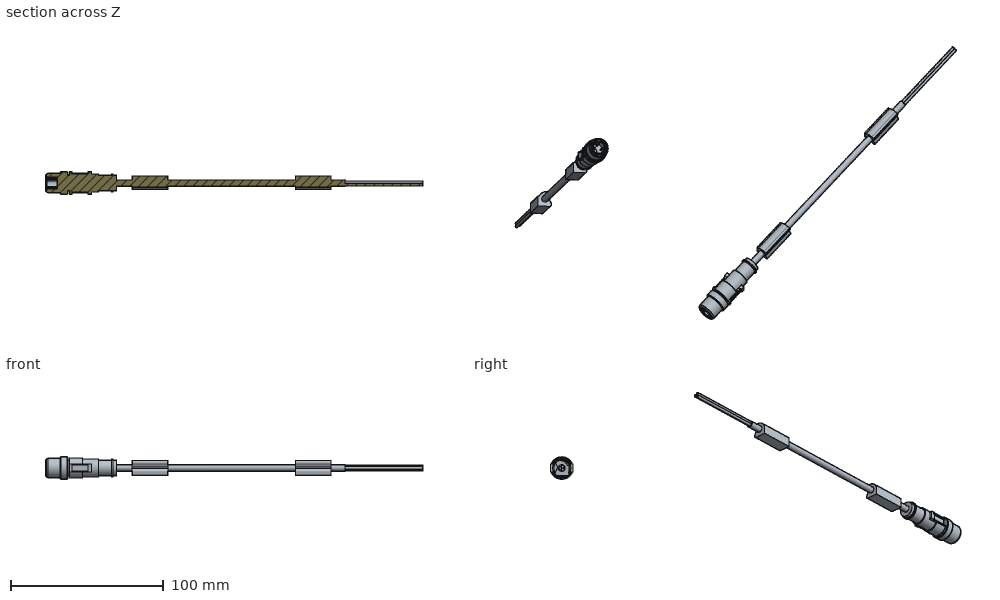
import cadquery as cq
import math

TOTAL_LENGTH = 246.8

NOSE_RADIUS = 6.5
NOSE_CHAMFER = 1.5
NOSE_FACE_RADIUS = 5.2
NOSE_EDGE_RADIUS = 6.0
NOSE_EDGE = 0.5
COLLAR_START = 9.5
COLLAR_END = 14.5
COLLAR_RADIUS = 7.5
COLLAR_CHAMFER = 0.5
NECK_RADIUS = 5.2
BODY_START = 15.5
BODY_STEP = 24.0
BODY_END = 34.5
BODY_FRONT_RADIUS = 6.7
BODY_REAR_RADIUS = 6.0
TAIL_RADIUS = 5.2
TAIL_END = 46.5
RING_START = 43.2
RING_END = 44.2
RING_RADIUS = 6.0

SOCKET_RADIUS = 3.7
SOCKET_DEPTH = 7.5
MOUTH_RADIUS = 4.5
MOUTH_DEPTH = 0.7
PIN_RADIUS = 0.5
PIN_CIRCLE_RADIUS = 2.7
PIN_LENGTH = 6.0
PIN_ANGLES = (0, 90, 180)
KEY_RADIUS = 1.0
KEY_CIRCLE_RADIUS = 3.5
KEY_ANGLE = -45

PAD_LENGTH = 14.5
PAD_HEIGHT = 5.5
PAD_REACH = 7.5
PAD_BASE = 6.7
POCKET_START = 17.3
POCKET_LENGTH = 10.4
POCKET_HEIGHT = 4.0
POCKET_FLOOR = 6.0

CABLE_RADIUS = 2.2
CABLE_END = 196.0
WIRE_COUNT = 3
WIRE_RADIUS = 0.91
WIRE_CIRCLE_RADIUS = 1.09

OVERLAP = 1.2

CLIP_LENGTH = 23.5
CLIP_STARTS = (56.5, 163.5)
CLIP_HALF_HEIGHT = 5.0
CLIP_BACK = 4.7
LEDGE_WIDTH = 1.0
LEDGE_HEIGHT = 1.7
DOME_MIDDLE = (2.0, 4.0)
DOME_END = -1.5
TOP_END = -3.2
TIP_REACH = -3.7
TIP_MIDDLE_HEIGHT = 4.0
GROOVE_TOP = 2.7
GROOVE_FLOOR = -2.7
GROOVE_FLOOR_TOP = 0.7
LIP_TOP = -0.2
LIP_INNER = -3.0
LIP_OUTER = -4.2
LIP_SLOPE_END = -2.7
LIP_BOTTOM_EDGE = -3.5


def cylinder(start, end, radius, y=0.0, z=0.0):
    """Round bar along X from start to end."""
    plane = cq.Plane(origin=(start, y, z), xDir=(0, -1, 0), normal=(1, 0, 0))
    return cq.Workplane(plane).circle(radius).extrude(end - start)


def plug_body():
    """Stepped round body of the plug, turned about the X axis."""
    profile = [
        (0, 0),
        (0, NOSE_FACE_RADIUS),
        (NOSE_EDGE, NOSE_EDGE_RADIUS),
        (NOSE_CHAMFER, NOSE_RADIUS),
        (COLLAR_START, NOSE_RADIUS),
        (COLLAR_START, COLLAR_RADIUS - COLLAR_CHAMFER),
        (COLLAR_START + COLLAR_CHAMFER, COLLAR_RADIUS),
        (COLLAR_END - COLLAR_CHAMFER, COLLAR_RADIUS),
        (COLLAR_END, COLLAR_RADIUS - COLLAR_CHAMFER),
        (COLLAR_END, NECK_RADIUS),
        (BODY_START, NECK_RADIUS),
        (BODY_START, BODY_FRONT_RADIUS),
        (BODY_STEP, BODY_FRONT_RADIUS),
        (BODY_STEP, BODY_REAR_RADIUS),
        (BODY_END, BODY_REAR_RADIUS),
        (BODY_END, TAIL_RADIUS),
        (RING_START, TAIL_RADIUS),
        (RING_START, RING_RADIUS),
        (RING_END, RING_RADIUS),
        (RING_END, TAIL_RADIUS),
        (TAIL_END, TAIL_RADIUS),
        (TAIL_END, 0),
    ]
    return cq.Workplane("XZ").polyline(profile).close().revolve(360, (0, 0, 0), (1, 0, 0))


def block(start, length, inner, outer, height, side):
    """Box standing on the +Y (side = 1) or -Y (side = -1) face, from inner to outer distance."""
    depth = outer - inner
    box = cq.Workplane("XY").box(length, depth, height, centered=(False, True, True))
    return box.translate((start, side * (inner + depth / 2), 0))


def add_grip_pad(plug, side):
    """Pad with a raised bar at each end and a pocket between the bars."""
    plug = plug.union(block(BODY_START, PAD_LENGTH, 0, PAD_REACH, PAD_HEIGHT, side))
    plug = plug.cut(block(POCKET_START, POCKET_LENGTH, PAD_BASE, PAD_REACH, PAD_HEIGHT, side))
    return plug.cut(block(POCKET_START, POCKET_LENGTH, POCKET_FLOOR, PAD_REACH, POCKET_HEIGHT, side))


def add_socket(plug):
    """Hollow the nose and stand the pins and the coding key on the socket floor."""
    plug = plug.cut(cylinder(0, SOCKET_DEPTH, SOCKET_RADIUS))
    plug = plug.cut(cylinder(0, MOUTH_DEPTH, MOUTH_RADIUS))
    for angle in PIN_ANGLES:
        y = PIN_CIRCLE_RADIUS * math.cos(math.radians(angle))
        z = PIN_CIRCLE_RADIUS * math.sin(math.radians(angle))
        plug = plug.union(cylinder(SOCKET_DEPTH - PIN_LENGTH, SOCKET_DEPTH + OVERLAP, PIN_RADIUS, y, z))
    key_y = KEY_CIRCLE_RADIUS * math.cos(math.radians(KEY_ANGLE))
    key_z = KEY_CIRCLE_RADIUS * math.sin(math.radians(KEY_ANGLE))
    return plug.union(cylinder(MOUTH_DEPTH, SOCKET_DEPTH + OVERLAP, KEY_RADIUS, key_y, key_z))


def wires():
    """Three wires in a triangle, one of them at -Y."""
    bundle = cq.Workplane("YZ")
    for i in range(WIRE_COUNT):
        angle = math.pi + i * 2 * math.pi / WIRE_COUNT
        y = WIRE_CIRCLE_RADIUS * math.cos(angle)
        z = WIRE_CIRCLE_RADIUS * math.sin(angle)
        bundle = bundle.union(cylinder(CABLE_END - OVERLAP, TOTAL_LENGTH, WIRE_RADIUS, y, z))
    return bundle


def marker_clip(start):
    """Marker clip: domed back, flat top, an undercut groove at -Y and a sloping lip below it."""
    section = (
        cq.Workplane("YZ", origin=(start, 0, 0))
        .moveTo(CLIP_BACK, -CLIP_HALF_HEIGHT)
        .lineTo(CLIP_BACK, LEDGE_HEIGHT)
        .lineTo(CLIP_BACK - LEDGE_WIDTH, LEDGE_HEIGHT)
        .threePointArc(DOME_MIDDLE, (DOME_END, CLIP_HALF_HEIGHT))
        .lineTo(TOP_END, CLIP_HALF_HEIGHT)
        .threePointArc((TIP_REACH, TIP_MIDDLE_HEIGHT), (TIP_REACH, GROOVE_TOP))
        .lineTo(GROOVE_FLOOR, GROOVE_FLOOR_TOP)
        .lineTo(GROOVE_FLOOR, LIP_TOP)
        .lineTo(LIP_INNER, LIP_TOP)
        .lineTo(LIP_OUTER, LIP_SLOPE_END)
        .tangentArcPoint((LIP_BOTTOM_EDGE, -CLIP_HALF_HEIGHT), relative=False)
        .close()
    )
    return section.extrude(CLIP_LENGTH)


result = plug_body()
for pad_side in (1, -1):
    result = add_grip_pad(result, pad_side)
result = add_socket(result)
result = result.union(cylinder(TAIL_END - OVERLAP, CABLE_END, CABLE_RADIUS))
for clip_start in CLIP_STARTS:
    result = result.union(marker_clip(clip_start))
result = result.union(wires())